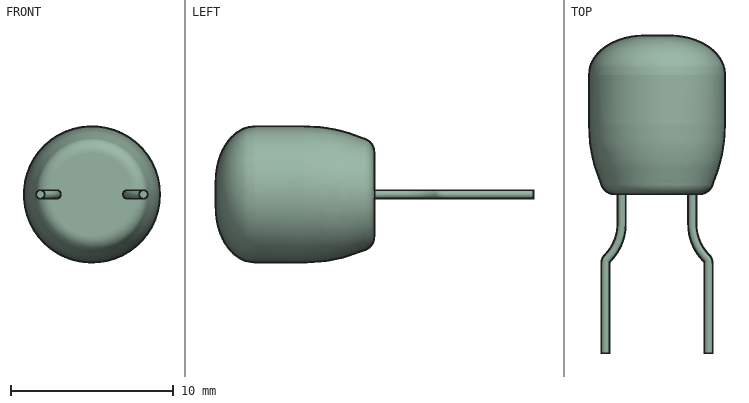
import cadquery as cq
import math

body_radius = 4.195
body_length = 9.78
base_flat_radius = 2.58
base_edge_radius = 3.46
base_edge_height = 0.7
barrel_start = 4.3
barrel_end = 7.35
crown_flat_radius = 0.78

lead_diameter = 0.53
lead_length = 9.78
lead_embed = 0.4
lead_inner_x = 2.17
lead_outer_x = 3.17
bend_start = -1.82
bend_end = -4.22
lower_bend_radius = 0.43


def make_body():
    """Revolve the half profile: rounded base, curved taper, barrel and elliptical crown."""
    crown_width = body_radius - crown_flat_radius
    crown_height = body_length - barrel_end
    taper_height = barrel_start - base_edge_height
    taper_inset = body_radius - base_edge_radius

    taper_radius = (taper_height**2 + taper_inset**2) / (2 * taper_inset)
    half_taper_angle = math.atan2(taper_inset, taper_height)
    taper_middle = (
        body_radius - taper_radius * (1 - math.cos(half_taper_angle)),
        barrel_start - taper_radius * math.sin(half_taper_angle),
    )

    profile = (
        cq.Workplane("XY")
        .lineTo(base_flat_radius, 0)
        .tangentArcPoint((base_edge_radius, base_edge_height), relative=False)
        .threePointArc(taper_middle, (body_radius, barrel_start))
        .lineTo(body_radius, barrel_end)
        .ellipseArc(crown_width, crown_height, 0, 90, startAtCurrent=True)
        .lineTo(0, body_length)
        .close()
    )
    return profile.revolve(360, (0, 0, 0), (0, 1, 0))


def make_lead():
    """Sweep the lead on the +X side along a straight, S-bend, straight path."""
    bend_offset = lead_outer_x - lead_inner_x
    bend_height = bend_start - bend_end

    bend_angle = 2 * math.atan2(bend_offset, bend_height)
    lower_bend_point = (
        lead_outer_x - lower_bend_radius * (1 - math.cos(bend_angle)),
        bend_end + lower_bend_radius * math.sin(bend_angle),
    )
    path = (
        cq.Workplane("XY")
        .moveTo(lead_inner_x, lead_embed)
        .lineTo(lead_inner_x, bend_start)
        .tangentArcPoint(lower_bend_point, relative=False)
        .tangentArcPoint((lead_outer_x, bend_end), relative=False)
        .lineTo(lead_outer_x, -lead_length)
    )
    section = cq.Workplane("XZ", origin=(lead_inner_x, lead_embed, 0)).circle(lead_diameter / 2)
    return section.sweep(path)


right_lead = make_lead()
left_lead = right_lead.mirror("YZ")
result = make_body().union(right_lead).union(left_lead)